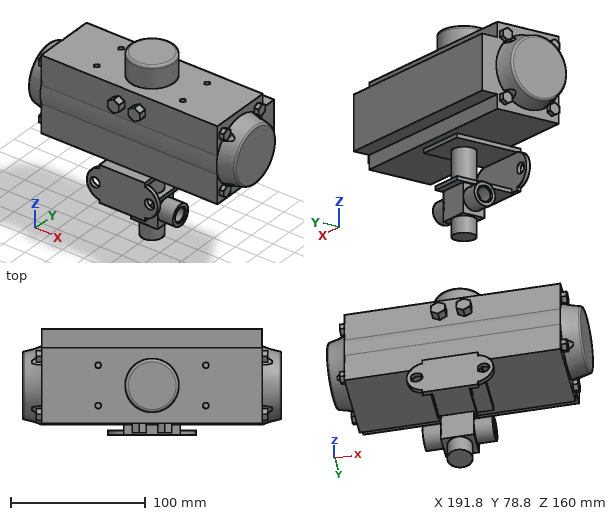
import cadquery as cq
import math


OVERALL_LENGTH = 191.8

BODY_LENGTH = 163.4
BODY_WIDTH = 56.0
BODY_HEIGHT = 68.7
BARREL_RADIUS = 29.1
REAR_SLAB_Y = 42.0
REAR_SLAB_TOP = 22.0
REAR_SLAB_BOTTOM = -22.8

CAP_LENGTH = (OVERALL_LENGTH - BODY_LENGTH) / 2
CAP_MID_OFFSET = 4.2
CAP_MID_RADIUS = 27.6
CAP_END_RADIUS = 25.1
CAP_FILLET = 1.7

BOLT_Y = 21.5
BOLT_Z = 25.0
BOLT_FLATS = 8.5
BOLT_HEAD_LENGTH = 4.0
BOLT_CLEARANCE_RADIUS = 6.3

PLUG_X = 9.5
PLUG_Z = 20.3
PLUG_FLATS = 10.4
PLUG_LENGTH = 6.9

KNOB_RADIUS = 20.0
KNOB_HEIGHT = 20.1
KNOB_FILLET = 2.3
TOP_HOLE_X = 39.9
TOP_HOLE_Y = 15.0
TOP_HOLE_DIAMETER = 4.5
TOP_HOLE_DEPTH = 7.7

BRACKET_WIDTH = 42.2
BRACKET_HEIGHT = 33.5
BRACKET_THICKNESS = 3.5
BRACKET_FRONT_Y = -36.8
UPPER_PLATE_REAR_Y = 21.5
LOWER_PLATE_REAR_Y = 16.1
LOWER_PLATE_WIDTH = 28.0
LOWER_PLATE_THICKNESS = 3.0
EAR_X = 18.8
EAR_Z = -51.4
EAR_RADIUS = 14.0
EAR_HOLE_X = 25.3
EAR_HOLE_DIAMETER = 8.8

PIPE_DIAMETER = 19.0
STEM_BOTTOM = -105.5
TEE_BLOCK_X = 25.0
TEE_BLOCK_Y = 19.5
TEE_BLOCK_BOTTOM = -92.0
CROSS_PIPE_LENGTH = 53.0
CROSS_PIPE_Z = -79.2
PIPE_BORE_RADIUS = 5.8
PIPE_BORE_MOUTH_RADIUS = 6.7
PIPE_BORE_DEPTH = 13.5

BODY_TOP = BODY_HEIGHT / 2
BODY_BOTTOM = -BODY_HEIGHT / 2
BODY_FRONT_Y = -BODY_WIDTH / 2
BODY_END_X = BODY_LENGTH / 2
BRACKET_BOTTOM = BODY_BOTTOM - BRACKET_HEIGHT
SIGNS = (-1, 1)


def box(x_range, y_range, z_range):
    """Axis-aligned box between the given limits."""
    size = [high - low for low, high in (x_range, y_range, z_range)]
    corner = (x_range[0], y_range[0], z_range[0])
    return cq.Workplane("XY").box(*size, centered=False).translate(corner)


def centered_range(length):
    return (-length / 2, length / 2)


def vertical_hexagon(flats):
    """Corner points of a hexagon with two corners on the vertical axis."""
    radius = flats / math.sqrt(3)
    angles = [math.radians(90 + 60 * side) for side in range(6)]
    return [(radius * math.cos(a), radius * math.sin(a)) for a in angles]


def make_body():
    x_range = centered_range(BODY_LENGTH)
    housing = box(x_range, centered_range(BODY_WIDTH), centered_range(BODY_HEIGHT))
    barrel = cq.Workplane("YZ").circle(BARREL_RADIUS).extrude(BODY_END_X, both=True)
    slab = box(x_range, (0, REAR_SLAB_Y), (REAR_SLAB_BOTTOM, REAR_SLAB_TOP))
    return housing.union(barrel).union(slab)


def make_right_cap():
    """Flared round cap on the +X end with scallops around its bolts."""
    end_x = BODY_END_X + CAP_LENGTH
    cap = (
        cq.Workplane("XY")
        .moveTo(BODY_END_X, 0)
        .lineTo(BODY_END_X, BARREL_RADIUS)
        .threePointArc((BODY_END_X + CAP_MID_OFFSET, CAP_MID_RADIUS), (end_x, CAP_END_RADIUS))
        .lineTo(end_x, 0)
        .close()
        .revolve(360, (0, 0, 0), (1, 0, 0))
        .faces(">X")
        .edges()
        .fillet(CAP_FILLET)
    )
    end_plane = cq.Workplane("YZ", origin=(BODY_END_X, 0, 0))
    scallops = (
        end_plane.rect(2 * BOLT_Y, 2 * BOLT_Z, forConstruction=True)
        .vertices()
        .circle(BOLT_CLEARANCE_RADIUS)
        .extrude(CAP_LENGTH)
    )
    cap = cap.cut(scallops)
    for side_y in SIGNS:
        for side_z in SIGNS:
            bolt = (
                cq.Workplane("YZ", origin=(BODY_END_X, side_y * BOLT_Y, side_z * BOLT_Z))
                .polyline(vertical_hexagon(BOLT_FLATS))
                .close()
                .extrude(BOLT_HEAD_LENGTH)
            )
            cap = cap.union(bolt)
    return cap


def make_plug(x):
    """Hexagonal port plug on the front face."""
    return (
        cq.Workplane("XZ", origin=(x, BODY_FRONT_Y, PLUG_Z))
        .polyline(vertical_hexagon(PLUG_FLATS))
        .close()
        .extrude(PLUG_LENGTH)
    )


def make_knob():
    knob_plane = cq.Workplane("XY", origin=(0, 0, BODY_TOP))
    knob = knob_plane.circle(KNOB_RADIUS).extrude(KNOB_HEIGHT)
    return knob.faces(">Z").edges().fillet(KNOB_FILLET)


def make_top_holes():
    return (
        cq.Workplane("XY", origin=(0, 0, BODY_TOP))
        .rect(2 * TOP_HOLE_X, 2 * TOP_HOLE_Y, forConstruction=True)
        .vertices()
        .circle(TOP_HOLE_DIAMETER / 2)
        .extrude(-TOP_HOLE_DEPTH)
    )


def make_bracket():
    """C-shaped bracket with a narrower lower plate and two round ears on its front plate."""
    x_range = centered_range(BRACKET_WIDTH)
    front_range = (BRACKET_FRONT_Y, BRACKET_FRONT_Y + BRACKET_THICKNESS)
    upper = box(
        x_range,
        (BRACKET_FRONT_Y, UPPER_PLATE_REAR_Y),
        (BODY_BOTTOM - BRACKET_THICKNESS, BODY_BOTTOM),
    )
    lower = box(
        centered_range(LOWER_PLATE_WIDTH),
        (BRACKET_FRONT_Y, LOWER_PLATE_REAR_Y),
        (BRACKET_BOTTOM, BRACKET_BOTTOM + LOWER_PLATE_THICKNESS),
    )
    front = box(x_range, front_range, (BRACKET_BOTTOM, BODY_BOTTOM))
    face = cq.Workplane("XZ", origin=(0, BRACKET_FRONT_Y, EAR_Z))
    ears = face.pushPoints([(-EAR_X, 0), (EAR_X, 0)]).circle(EAR_RADIUS).extrude(-BRACKET_THICKNESS)
    holes = (
        face.pushPoints([(-EAR_HOLE_X, 0), (EAR_HOLE_X, 0)])
        .circle(EAR_HOLE_DIAMETER / 2)
        .extrude(-BRACKET_THICKNESS)
    )
    return upper.union(lower).union(front.union(ears).cut(holes))


def make_pipe_bore():
    """Blind bore with a widened mouth in the -X end of the cross pipe."""
    mouth_x = -CROSS_PIPE_LENGTH / 2
    chamfer_length = PIPE_BORE_MOUTH_RADIUS - PIPE_BORE_RADIUS
    return (
        cq.Workplane("XY")
        .moveTo(mouth_x, 0)
        .lineTo(mouth_x, PIPE_BORE_MOUTH_RADIUS)
        .lineTo(mouth_x + chamfer_length, PIPE_BORE_RADIUS)
        .lineTo(mouth_x + PIPE_BORE_DEPTH, PIPE_BORE_RADIUS)
        .lineTo(mouth_x + PIPE_BORE_DEPTH, 0)
        .close()
        .revolve(360, (0, 0, 0), (1, 0, 0))
        .translate((0, 0, CROSS_PIPE_Z))
    )


def make_tee():
    """Vertical stem, tee block and bored cross pipe."""
    stem_plane = cq.Workplane("XY", origin=(0, 0, STEM_BOTTOM))
    stem = stem_plane.circle(PIPE_DIAMETER / 2).extrude(BODY_BOTTOM - STEM_BOTTOM)
    block = box(
        centered_range(TEE_BLOCK_X),
        centered_range(TEE_BLOCK_Y),
        (TEE_BLOCK_BOTTOM, BRACKET_BOTTOM),
    )
    cross_pipe = (
        cq.Workplane("YZ", origin=(0, 0, CROSS_PIPE_Z))
        .circle(PIPE_DIAMETER / 2)
        .extrude(CROSS_PIPE_LENGTH / 2, both=True)
    )
    bore = make_pipe_bore()
    return stem.union(block).union(cross_pipe).cut(bore).cut(bore.mirror("YZ"))


right_cap = make_right_cap()
result = make_body().union(right_cap).union(right_cap.mirror("YZ"))
for side in SIGNS:
    result = result.union(make_plug(side * PLUG_X))
result = result.union(make_knob()).cut(make_top_holes())
result = result.union(make_bracket()).union(make_tee())